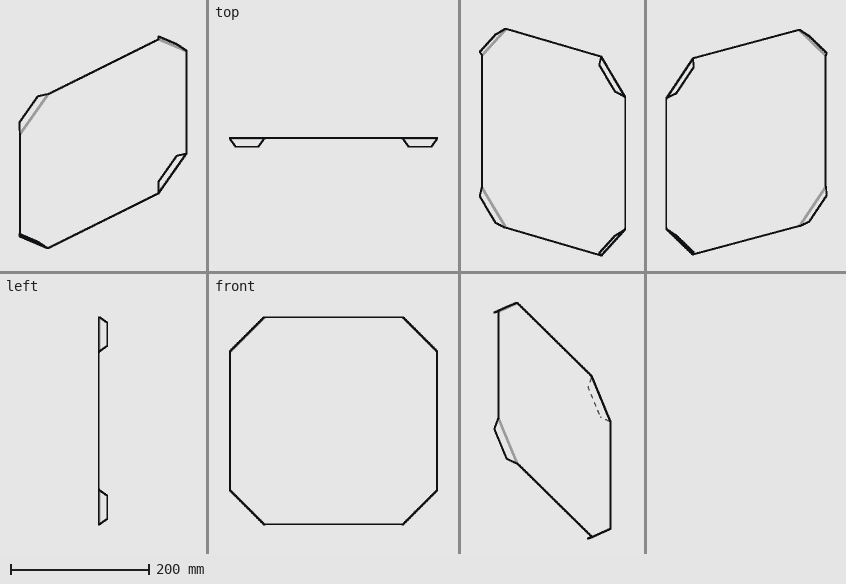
import cadquery as cq
import math

side = 300.0
thickness = 0.7
inner_radius = 1.0
neutral_ratio = 0.1
overall_depth = 13.0
blank_chamfer = 33.0
bend_sections = 13
bend_angle = math.pi / 2

outer_radius = inner_radius + thickness
neutral_radius = inner_radius + neutral_ratio * thickness
flange_height = overall_depth - outer_radius
bend_length = neutral_radius * bend_angle
flap_length = bend_length + flange_height
corner_cut = blank_chamfer + flap_length * math.sqrt(2)
bend_half_width = corner_cut / math.sqrt(2)
bend_line_offset = (side - corner_cut) / math.sqrt(2)


def make_panel():
    """Flat octagonal panel with its back face on Y = 0."""
    blank = cq.Workplane("XY").box(side, thickness, side).translate((0, -thickness / 2, 0))
    return blank.edges("|Y").chamfer(corner_cut)


def bend_section(angle):
    """Rectangle across the sheet after turning by angle.

    The blank edge meets the bend line at 45 degrees, so each end of the section
    moves in by the length of sheet already used along the neutral fibre.
    """
    half_width = bend_half_width - neutral_radius * angle
    corners = [
        (inner_radius, -half_width),
        (outer_radius, -half_width),
        (outer_radius, half_width),
        (inner_radius, half_width),
    ]
    points = [
        cq.Vector(
            bend_line_offset + radius * math.sin(angle),
            radius * math.cos(angle) - outer_radius,
            along,
        )
        for radius, along in corners
    ]
    return cq.Wire.makePolygon(points, close=True)


def make_bend():
    """Quarter-turn bend on the +X side, with its axis along Z."""
    step = bend_angle / (bend_sections - 1)
    sections = [bend_section(index * step) for index in range(bend_sections)]
    return cq.Workplane(obj=cq.Solid.makeLoft(sections))


def make_flange():
    """Trapezoid flange beyond the bend, with both ends tapering at 45 degrees."""
    root_half_width = bend_half_width - bend_length
    tip_half_width = root_half_width - flange_height
    return (
        cq.Workplane("YZ", origin=(bend_line_offset + inner_radius, 0, 0))
        .moveTo(-outer_radius, -root_half_width)
        .lineTo(-overall_depth, -tip_half_width)
        .lineTo(-overall_depth, tip_half_width)
        .lineTo(-outer_radius, root_half_width)
        .close()
        .extrude(thickness)
    )


folded_sheet = make_panel()
folded_corner = make_bend().union(make_flange())
for corner_angle in (45, 135, 225, 315):
    folded_sheet = folded_sheet.union(folded_corner.rotate((0, 0, 0), (0, 1, 0), corner_angle))

result = folded_sheet.solids()